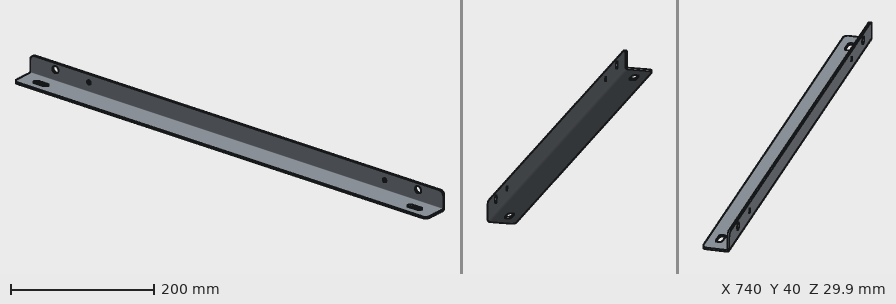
import cadquery as cq

LENGTH = 740.0
DEPTH = 40.0
HEIGHT = 29.92
THICKNESS = 3.0

INNER_BEND_RADIUS = 1.0
OUTER_BEND_RADIUS = INNER_BEND_RADIUS + THICKNESS

CORNER_RADIUS = 7.0

LARGE_HOLE_DIAMETER = 11.0
LARGE_HOLE_END_DISTANCE = 45.0
LARGE_HOLE_DROP = 10.0
SMALL_HOLE_DIAMETER = 6.5
SMALL_HOLE_END_DISTANCE = 105.0
SMALL_HOLE_DROP = 12.5

SLOT_LENGTH = 25.0
SLOT_WIDTH = 9.5
SLOT_END_DISTANCE = 35.0
SLOT_SETBACK = 17.5

FRONT_Y = -DEPTH / 2
BACK_Y = DEPTH / 2
BOTTOM_Z = -HEIGHT / 2
TOP_Z = HEIGHT / 2


def mirrored_points(end_distance, offset):
    """Two points at the same distance from either end of the strip."""
    x = LENGTH / 2 - end_distance
    return [(-x, offset), (x, offset)]


def make_bent_strip():
    """L-shaped section with a rounded bend, extruded along X."""
    inner_y = BACK_Y - THICKNESS
    inner_z = BOTTOM_Z + THICKNESS
    return (
        cq.Workplane("YZ")
        .moveTo(FRONT_Y, BOTTOM_Z)
        .lineTo(BACK_Y - OUTER_BEND_RADIUS, BOTTOM_Z)
        .radiusArc((BACK_Y, BOTTOM_Z + OUTER_BEND_RADIUS), -OUTER_BEND_RADIUS)
        .lineTo(BACK_Y, TOP_Z)
        .lineTo(inner_y, TOP_Z)
        .lineTo(inner_y, inner_z + INNER_BEND_RADIUS)
        .radiusArc((inner_y - INNER_BEND_RADIUS, inner_z), INNER_BEND_RADIUS)
        .lineTo(FRONT_Y, inner_z)
        .close()
        .extrude(LENGTH / 2, both=True)
    )


def round_free_corners(strip):
    """Round the front corners of the flat leg and the top corners of the upright leg."""
    strip = strip.faces("<Y").edges("|Z").fillet(CORNER_RADIUS)
    return strip.faces(">Z").edges("|Y").fillet(CORNER_RADIUS)


def cut_upright_holes(strip, diameter, end_distance, drop):
    """Pair of round holes running through the upright leg along Y."""
    holes = (
        cq.Workplane("XZ", origin=(0, BACK_Y, 0))
        .pushPoints(mirrored_points(end_distance, TOP_Z - drop))
        .circle(diameter / 2)
        .extrude(THICKNESS)
    )
    return strip.cut(holes)


def cut_slots(strip):
    """Pair of round-ended slots running through the flat leg along Z."""
    slots = (
        cq.Workplane("XY", origin=(0, 0, BOTTOM_Z))
        .pushPoints(mirrored_points(SLOT_END_DISTANCE, FRONT_Y + SLOT_SETBACK))
        .slot2D(SLOT_LENGTH, SLOT_WIDTH)
        .extrude(THICKNESS)
    )
    return strip.cut(slots)


strip = round_free_corners(make_bent_strip())
strip = cut_upright_holes(strip, LARGE_HOLE_DIAMETER, LARGE_HOLE_END_DISTANCE, LARGE_HOLE_DROP)
strip = cut_upright_holes(strip, SMALL_HOLE_DIAMETER, SMALL_HOLE_END_DISTANCE, SMALL_HOLE_DROP)
result = cut_slots(strip)